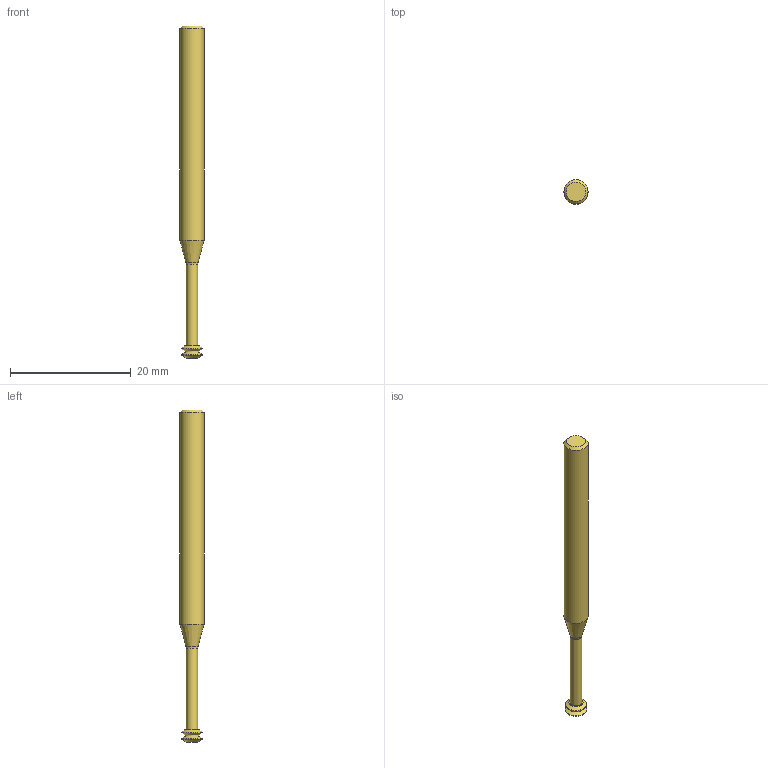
import cadquery as cq
import math

total_length = 55.0
shank_radius = 4.0 / 2
shank_chamfer = 0.4

neck_radius = 1.93 / 2
taper_half_angle = math.radians(15)
taper_blend_radius = 1.0
shank_bottom_z = 19.5

tooth_count = 2
pitch = 1.05
crest_radius = 3.6 / 2
root_radius = 2.38 / 2
crest_width = 0.105
flank_half_angle = math.radians(30)

flank_run = (crest_radius - root_radius) * math.tan(flank_half_angle)
end_flank_run = (crest_radius - neck_radius) * math.tan(flank_half_angle)


def add_head(profile):
    """Draw the bottom face, the ring teeth and the ledge above the last tooth."""
    profile = profile.lineTo(neck_radius, 0)
    for tooth in range(tooth_count):
        crest_bottom = end_flank_run + tooth * pitch
        crest_top = crest_bottom + crest_width
        if tooth > 0:
            profile = profile.lineTo(root_radius, crest_bottom - flank_run)
        profile = profile.lineTo(crest_radius, crest_bottom)
        profile = profile.lineTo(crest_radius, crest_top)
        profile = profile.lineTo(root_radius, crest_top + flank_run)
    head_top = crest_top + flank_run
    return profile.lineTo(neck_radius, head_top)


def add_neck_and_taper(profile):
    """Draw the neck, the arc tangent to neck and taper, and the taper up to the shank."""
    arc_center_r = neck_radius + taper_blend_radius

    def arc_radius_at(angle):
        return arc_center_r - taper_blend_radius * math.cos(angle)

    def arc_rise_at(angle):
        return taper_blend_radius * math.sin(angle)

    arc_end_r = arc_radius_at(taper_half_angle)
    arc_end_z = shank_bottom_z - (shank_radius - arc_end_r) / math.tan(taper_half_angle)
    neck_top_z = arc_end_z - arc_rise_at(taper_half_angle)
    mid_angle = taper_half_angle / 2
    arc_middle = (arc_radius_at(mid_angle), neck_top_z + arc_rise_at(mid_angle))

    profile = profile.lineTo(neck_radius, neck_top_z)
    profile = profile.threePointArc(arc_middle, (arc_end_r, arc_end_z))
    return profile.lineTo(shank_radius, shank_bottom_z)


def add_shank(profile):
    """Draw the cylindrical shank and its chamfered top end."""
    profile = profile.lineTo(shank_radius, total_length - shank_chamfer)
    profile = profile.lineTo(shank_radius - shank_chamfer, total_length)
    return profile.lineTo(0, total_length)


half_section = cq.Workplane("XZ").moveTo(0, 0)
half_section = add_head(half_section)
half_section = add_neck_and_taper(half_section)
half_section = add_shank(half_section)
result = half_section.close().revolve(360, (0, 0), (0, 1))